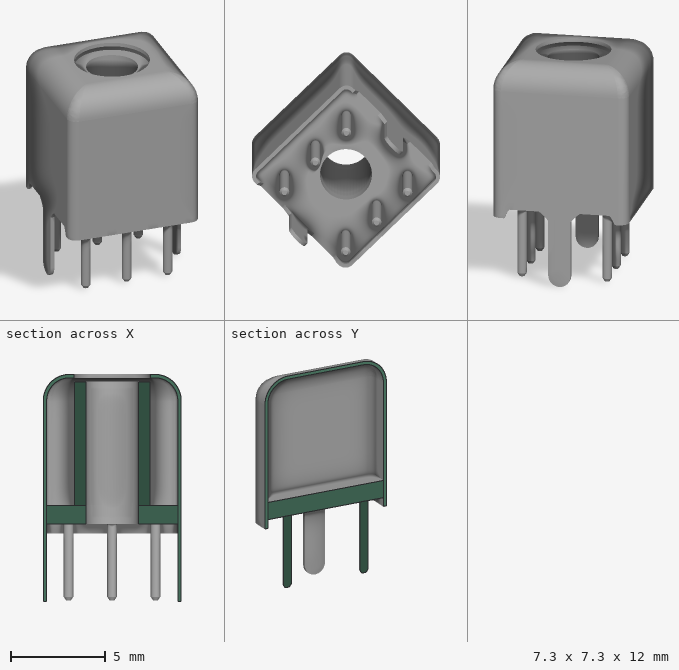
import cadquery as cq

height = 12.0
width = 7.3
wall = 0.2
top_radius = 1.4
corner_radius = 0.5
can_bottom = 3.6

notch_top = 4.09
notch_inner = 1.1
notch_outer_top = 2.7
notch_outer_bottom = 2.98
notch_arc_radius = 2.0

tab_width = 1.2

opening_diameter = 4.0
bore_diameter = 2.74
core_recess = 0.41
base_thickness = 1.0
base_top = notch_top + base_thickness

pin_diameter = 0.5
pin_offset = 2.29
pin_tip = 0.07
pin_tip_height = 0.18
pin_tip_inset = 0.12


def cylinder(diameter, bottom, top):
    """Upright cylinder on the part axis."""
    return cq.Workplane("XY").workplane(offset=bottom).circle(diameter / 2).extrude(top - bottom)


def domed_block(inset, bottom):
    """Square block with rounded top, inset from the outside of the can."""
    side = width - 2 * inset
    top = height - inset
    block = cq.Workplane("XY").workplane(offset=bottom).rect(side, side).extrude(top - bottom)
    block = block.faces(">Z").edges().fillet(top_radius - inset)
    return block.edges("|Z").fillet(corner_radius - inset)


def make_notch(side):
    """Cutter for the curved-ended opening on one side of the tab, through both tabbed walls."""
    return (
        cq.Workplane("XZ")
        .moveTo(side * tab_width / 2, can_bottom)
        .radiusArc((side * notch_inner, notch_top), side * notch_arc_radius)
        .lineTo(side * notch_outer_top, notch_top)
        .radiusArc((side * notch_outer_bottom, can_bottom), side * notch_arc_radius)
        .close()
        .extrude(width / 2, both=True)
    )


def make_tab(outer_y):
    """Round-ended tab lying flush with one can wall; outer_y is its front face position."""
    half = tab_width / 2
    return (
        cq.Workplane("XZ", origin=(0, outer_y, 0))
        .moveTo(-half, notch_top)
        .lineTo(-half, half)
        .threePointArc((0, 0), (half, half))
        .lineTo(half, notch_top)
        .close()
        .extrude(-wall)
    )


def make_can():
    cavity = domed_block(wall, can_bottom)
    can = domed_block(0, can_bottom).cut(cavity)
    can = can.cut(cylinder(opening_diameter, can_bottom, height))
    for side in (-1, 1):
        can = can.cut(make_notch(side))
    for outer_y in (-width / 2, width / 2 - wall):
        can = can.union(make_tab(outer_y))
    return can


def make_base():
    """Plate closing the can above the notches, pierced by the core bore."""
    side = width - 2 * wall
    base = cq.Workplane("XY").workplane(offset=notch_top).rect(side, side).extrude(base_thickness)
    base = base.edges("|Z").fillet(corner_radius - wall)
    return base.cut(cylinder(bore_diameter, notch_top, base_top))


def make_core():
    """Tube standing on the base, its rim just below the opening of the can."""
    core_top = height - core_recess
    core = cylinder(opening_diameter, base_top, core_top)
    return core.cut(cylinder(bore_diameter, base_top, core_top))


def make_pin(x, y):
    """Pin with a tapered tip, its upper end against the underside of the base."""
    radius = pin_diameter / 2
    tip_radius = radius - pin_tip_inset
    return (
        cq.Workplane("XZ")
        .moveTo(0, pin_tip)
        .lineTo(tip_radius, pin_tip)
        .lineTo(radius, pin_tip + pin_tip_height)
        .lineTo(radius, notch_top)
        .lineTo(0, notch_top)
        .close()
        .revolve(360, (0, 0, 0), (0, 1, 0))
        .translate((x, y, 0))
    )


can = make_can()
base = make_base()
core = make_core()

pins = []
for x in (-pin_offset, pin_offset):
    for y in (-pin_offset, 0, pin_offset):
        pins.append(make_pin(x, y).val())

result = cq.Compound.makeCompound([can.val(), base.val(), core.val(), *pins])